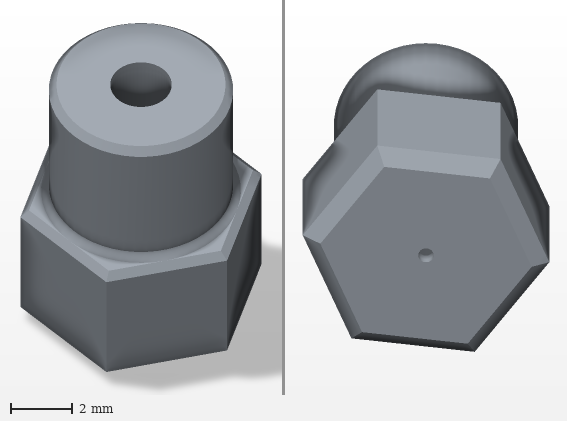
import cadquery as cq
import math

across_flats = 7.0
hex_height = 5.0
bottom_chamfer = 0.5
top_chamfer = 0.25

total_height = 10.0
shank_radius = 3.0
shank_chamfer = 0.25
foot_flare = 0.25

bore_radius = 1.0
outlet_radius = 0.25
outlet_length = 0.5
cone_half_angle = math.radians(59)
cone_height = (bore_radius - outlet_radius) / math.tan(cone_half_angle)


def make_hex_body():
    across_corners = across_flats / math.cos(math.pi / 6)
    prism = (
        cq.Workplane("XY")
        .transformed(rotate=(0, 0, 30))
        .polygon(6, across_corners)
        .extrude(hex_height)
    )
    return prism.faces("<Z").chamfer(bottom_chamfer).faces(">Z").chamfer(top_chamfer)


def make_shank():
    profile = [
        (0, hex_height),
        (shank_radius + foot_flare, hex_height),
        (shank_radius, hex_height + foot_flare),
        (shank_radius, total_height - shank_chamfer),
        (shank_radius - shank_chamfer, total_height),
        (0, total_height),
    ]
    return cq.Workplane("XZ").polyline(profile).close().revolve(360, (0, 0), (0, 1))


def make_bore():
    profile = [
        (0, 0),
        (outlet_radius, 0),
        (outlet_radius, outlet_length),
        (bore_radius, outlet_length + cone_height),
        (bore_radius, total_height),
        (0, total_height),
    ]
    return cq.Workplane("XZ").polyline(profile).close().revolve(360, (0, 0), (0, 1))


result = make_hex_body().union(make_shank()).cut(make_bore())